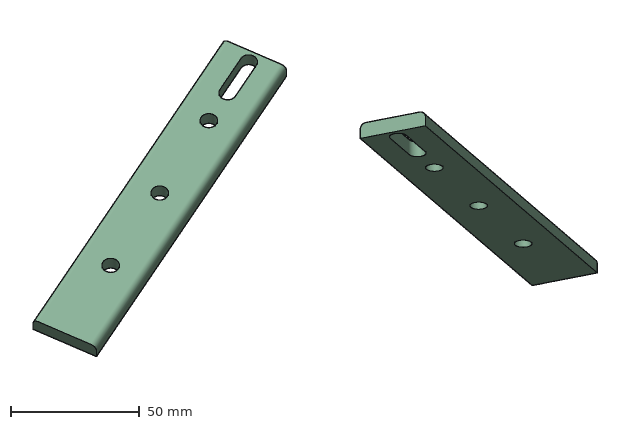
import cadquery as cq

width = 28.0
length = 155.0
thickness = 6.35
edge_radius = 2.5

hole_diameter = 6.8
hole_pitch = 40.0
hole_count = 3

slot_length = 23.9
slot_end_gap = 1.6
slot_center_y = length / 2 - slot_end_gap - slot_length / 2


def make_bar():
    """Flat bar with its two long top edges rounded."""
    bar = cq.Workplane("XY").box(width, length, thickness, centered=(True, True, False))
    return bar.faces(">Z").edges("|Y").fillet(edge_radius)


def make_holes():
    """Row of round cutters along Y, centred on the bar."""
    first_y = -hole_pitch * (hole_count - 1) / 2
    centers = [(0, first_y + index * hole_pitch) for index in range(hole_count)]
    return cq.Workplane("XY").pushPoints(centers).circle(hole_diameter / 2).extrude(thickness)


def make_slot():
    """Round-ended cutter running along Y."""
    return (
        cq.Workplane("XY")
        .center(0, slot_center_y)
        .slot2D(slot_length, hole_diameter, 90)
        .extrude(thickness)
    )


result = make_bar().cut(make_holes()).cut(make_slot())